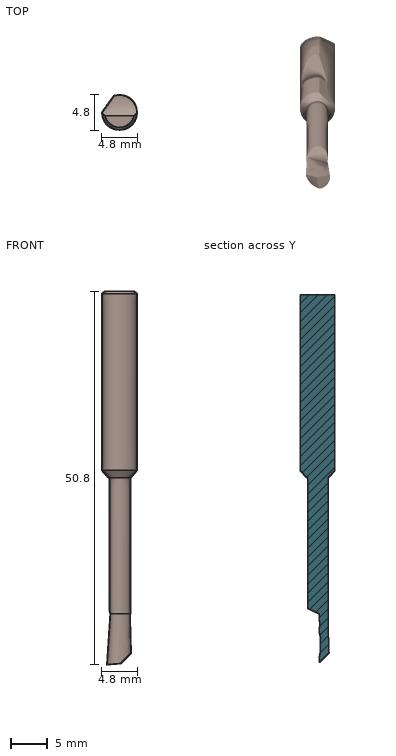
import cadquery as cq
import math

length = 50.8
shank_radius = 2.4
shank_bottom = 26.4
cone_height = 1.0
neck_radius = 1.5
neck_relief_radius = 1.35
top_chamfer = 0.35

flat_end_angle = 109.0

facet_front = -0.45

notch_top = 41.15
notch_floor_end = 32.9
notch_bottom = 32.2
notch_floor = 1.05

head_height = 6.9
tip_flat_end = 0.15
tip_rise = 0.15
corner_start = (1.65, 1.65)
tip_section = ((-1.75, -0.075), (-1.2, -1.15), (-0.2, -1.75), (1.2, -1.1), (1.7, 0.05))
root_section = ((-1.25, -0.75), (-0.6, -1.35), (0.3, -1.4), (1.35, -0.55), (1.3, 0.6))

clearance = 5.1


def extrude_along_x(points):
    """Prism across the whole tool from an outline of (Y, Z) points."""
    return cq.Workplane("YZ").polyline(points).close().extrude(clearance, both=True)


def make_shank():
    shank_length = length - shank_bottom
    shank = cq.Workplane("XY").workplane(offset=shank_bottom).circle(shank_radius).extrude(shank_length)
    shank = shank.faces(">Z").chamfer(top_chamfer)
    cone = cq.Workplane("XY").add(
        cq.Solid.makeCone(neck_radius, shank_radius, cone_height, cq.Vector(0, 0, shank_bottom - cone_height))
    )
    return shank.union(cone)


def make_flat_cutter():
    half_span = (180.0 - flat_end_angle) / 2
    distance = shank_radius * math.cos(math.radians(half_span))
    block = cq.Workplane("XY").box(clearance, 2 * clearance, length, centered=(False, True, False))
    block = block.translate((distance, 0, 0))
    return block.rotate((0, 0, 0), (0, 0, 1), flat_end_angle + half_span)


def make_facet_cutter():
    return extrude_along_x([
        (facet_front, length),
        (facet_front + clearance, length - clearance),
        (facet_front + clearance, length),
    ])


def make_notch_cutter():
    return extrude_along_x([
        (shank_radius, notch_top),
        (notch_floor, notch_floor_end),
        (shank_radius, notch_bottom),
        (clearance, notch_bottom),
        (clearance, notch_top),
    ])


def make_neck():
    neck_top = shank_bottom - cone_height
    neck_length = neck_top - head_height
    diagonal = math.sqrt(0.5)
    neck = (
        cq.Workplane("XY")
        .workplane(offset=head_height)
        .moveTo(0, -neck_radius)
        .threePointArc((neck_radius * diagonal, -neck_radius * diagonal), (neck_radius, 0))
        .threePointArc((-neck_relief_radius * diagonal, neck_relief_radius * diagonal), (0, -neck_radius))
        .close()
        .extrude(neck_length)
    )
    (edge_x, edge_y), (back_x, back_y) = root_section[0], root_section[-1]
    runout = extrude_along_x([
        (0, head_height),
        (clearance, head_height),
        (clearance, head_height + clearance),
    ])
    rake_angle = math.degrees(math.atan2(back_y - edge_y, back_x - edge_x))
    runout = runout.rotate((0, 0, 0), (0, 0, 1), rake_angle).translate((edge_x, edge_y, 0))
    return neck.cut(runout)


def section_wire(section, height):
    edge, flank, crease, relief, back = [cq.Vector(x, y, height) for x, y in section]
    return cq.Wire.assembleEdges([
        cq.Edge.makeThreePointArc(edge, flank, crease),
        cq.Edge.makeThreePointArc(crease, relief, back),
        cq.Edge.makeLine(back, edge),
    ])


def make_head():
    wires = [section_wire(tip_section, 0), section_wire(root_section, head_height)]
    head = cq.Workplane("XY").add(cq.Solid.makeLoft(wires, True))
    corner_x, corner_z = corner_start
    bevel_slope = (corner_z - tip_rise) / (corner_x - tip_flat_end)
    end_cut = (
        cq.Workplane("XZ")
        .moveTo(tip_section[0][0], 0)
        .lineTo(tip_flat_end, tip_rise)
        .lineTo(clearance, tip_rise + bevel_slope * (clearance - tip_flat_end))
        .lineTo(clearance, -clearance)
        .lineTo(tip_section[0][0], -clearance)
        .close()
        .extrude(clearance, both=True)
    )
    return head.cut(end_cut)


shank = make_shank().cut(make_flat_cutter()).cut(make_facet_cutter()).cut(make_notch_cutter())
result = shank.union(make_neck()).union(make_head())